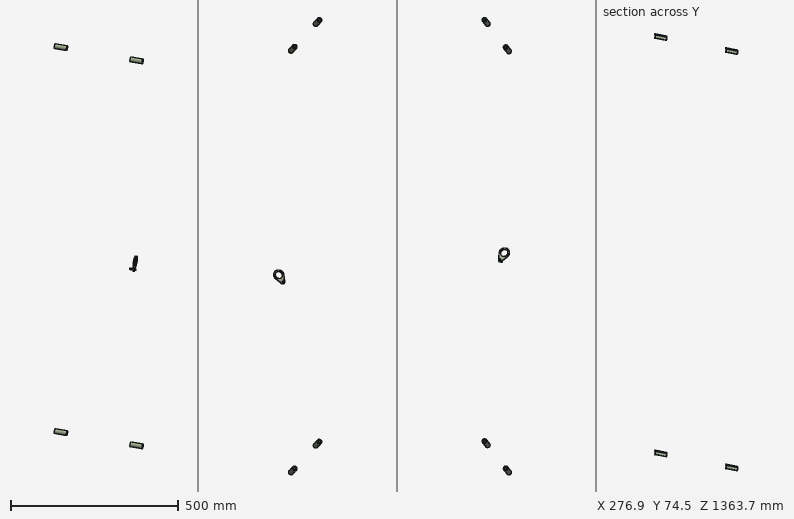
import cadquery as cq
import math

SPACER_DIAMETER = 15.24
SPACER_BORE = 7.62
SPACER_LENGTH = 38.1
SPACER_PITCH_X = 238.8
SPACER_PITCH_Z = 1348.45

PLATE_THICKNESS = 3.175
PLATE_MID_X = 98.5
RING_Y = 50.76
RING_Z = -62.75
RING_DIAMETER = 32.3
RING_HOLE_DIAMETER = 22.25
BOSS_DIAMETER = 11.5

PIVOT_OFFSET_Y = -12.5
PIVOT_OFFSET_Z = -21.65
PIVOT_Y = RING_Y + PIVOT_OFFSET_Y
PIVOT_Z = RING_Z + PIVOT_OFFSET_Z
PIN_DIAMETER = 5.08
PIN_LENGTH = 19.6
PIN_REACH = 13.5
PIN_START_X = PLATE_MID_X - PIN_REACH


def make_spacer(x, z):
    """Tube along X, centred at (x, 0, z)."""
    return (
        cq.Workplane("YZ", origin=(x - SPACER_LENGTH / 2, 0, z))
        .circle(SPACER_DIAMETER / 2)
        .circle(SPACER_BORE / 2)
        .extrude(SPACER_LENGTH)
    )


def point_at(centre, radius, angle):
    """Point at an angle on a circle in the YZ plane."""
    return centre[0] + radius * math.cos(angle), centre[1] + radius * math.sin(angle)


def make_plate():
    """Ring and boss joined by their two outer tangent lines, with the ring hole cut out."""
    ring_centre = (RING_Y, RING_Z)
    boss_centre = (PIVOT_Y, PIVOT_Z)
    ring_radius = RING_DIAMETER / 2
    boss_radius = BOSS_DIAMETER / 2
    centre_distance = math.dist(ring_centre, boss_centre)
    to_boss = math.atan2(PIVOT_OFFSET_Z, PIVOT_OFFSET_Y)
    spread = math.acos((ring_radius - boss_radius) / centre_distance)

    plate_origin = (PLATE_MID_X - PLATE_THICKNESS / 2, 0, 0)
    outline = (
        cq.Workplane("YZ", origin=plate_origin)
        .moveTo(*point_at(ring_centre, ring_radius, to_boss + spread))
        .threePointArc(
            point_at(ring_centre, ring_radius, to_boss + math.pi),
            point_at(ring_centre, ring_radius, to_boss - spread),
        )
        .lineTo(*point_at(boss_centre, boss_radius, to_boss - spread))
        .threePointArc(
            point_at(boss_centre, boss_radius, to_boss),
            point_at(boss_centre, boss_radius, to_boss + spread),
        )
        .close()
        .extrude(PLATE_THICKNESS)
    )
    hole = (
        cq.Workplane("YZ", origin=plate_origin)
        .center(*ring_centre)
        .circle(RING_HOLE_DIAMETER / 2)
        .extrude(PLATE_THICKNESS)
    )
    return outline.cut(hole)


def make_pin():
    """Round pivot pin that stands out of both faces of the plate."""
    return (
        cq.Workplane("YZ", origin=(PIN_START_X, PIVOT_Y, PIVOT_Z))
        .circle(PIN_DIAMETER / 2)
        .extrude(PIN_LENGTH)
    )


spacers = [
    make_spacer(side * SPACER_PITCH_X / 2, level * SPACER_PITCH_Z / 2)
    for side in (-1, 1)
    for level in (-1, 1)
]

lever = make_plate().union(make_pin())

result = cq.Compound.makeCompound([*(spacer.val() for spacer in spacers), lever.val()])